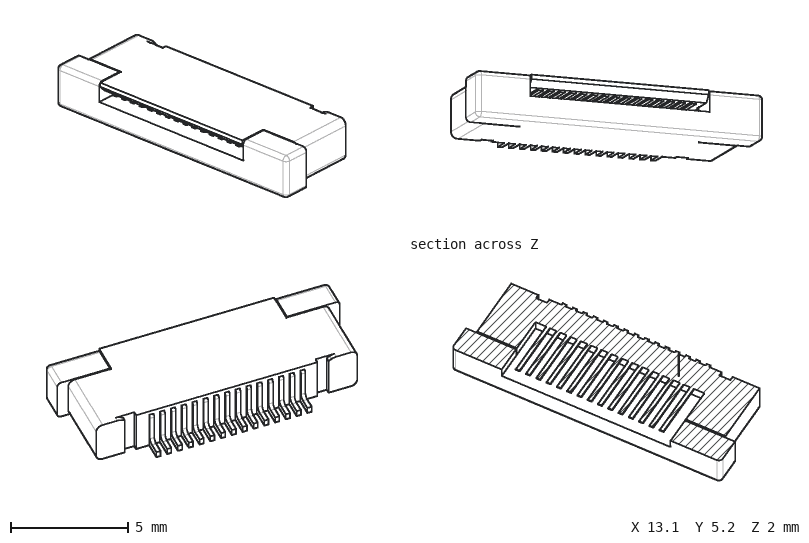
import cadquery as cq
import math


height = 2.0

actuator_length = 13.1
actuator_depth = 1.3
actuator_radius = 0.2

clearance = 0.05
housing_length = 12.1
housing_front = actuator_depth + clearance
housing_back = 4.4
housing_radius = 0.3

mouth_length = 8.2
mouth_floor = 1.05
mouth_ceiling = 1.5
mouth_depth = 3.0
lid_length = mouth_length - 2 * clearance
lid_lip = 0.2
lid_slope_depth = 0.3

contact_count = 15
contact_pitch = 0.5
contact_width = 0.2
finger_drop = 0.08
finger_rake = 0.015
foot_end = 5.2
foot_thickness = 0.3
stem_back = housing_back + 0.1
stem_top = 1.8
stem_outer_radius = 0.1
stem_inner_radius = 0.2

notch_depth = 0.2
notch_inner = 4.2
notch_outer = 4.72
shoulder_start = 5.07
shoulder_radius = 0.48
shoulder_slope = math.radians(28)


def box(length, y_start, y_end, z_start, z_end):
    """Block centred on X, spanning the given Y and Z ranges."""
    block = cq.Workplane("XY").box(length, y_end - y_start, z_end - z_start, centered=(True, False, False))
    return block.translate((0, y_start, z_start))


def make_actuator():
    """Bar rounded everywhere but on its back face, with the cable mouth cut through its middle."""
    bar = box(actuator_length, 0, actuator_depth, 0, height)
    bar = bar.edges("not >Y").fillet(actuator_radius)
    return bar.cut(box(mouth_length, 0, actuator_depth, mouth_floor, height))


def make_housing():
    """Block rounded along its four long side edges, hollowed by the cable mouth."""
    block = box(housing_length, housing_front, housing_back, 0, height)
    block = block.edges("|Y").fillet(housing_radius)
    return block.cut(box(mouth_length, housing_front, mouth_depth, mouth_floor, mouth_ceiling))


def make_neck():
    """Floor of the mouth bridging the clearance between actuator and housing."""
    return box(mouth_length, actuator_depth, housing_front, 0, mouth_floor)


def make_lid():
    """Roof over the mouth with a sloped lead-in behind its front lip."""
    profile = [
        (0, height),
        (0, height - lid_lip),
        (lid_slope_depth, mouth_ceiling),
        (housing_front, mouth_ceiling),
        (housing_front, height),
    ]
    return cq.Workplane("YZ").polyline(profile).close().extrude(lid_length / 2, both=True)


def make_notch():
    """Cutter for the notch on the +X side: an upright slot whose outer wall ends in a shoulder."""
    arc_end_x = shoulder_start - shoulder_radius * math.sin(shoulder_slope)
    arc_end_z = height - shoulder_radius * (1 - math.cos(shoulder_slope))
    arc_middle = (
        shoulder_start - shoulder_radius * math.sin(shoulder_slope / 2),
        height - shoulder_radius * (1 - math.cos(shoulder_slope / 2)),
    )
    slope_bottom = arc_end_z - (arc_end_x - notch_outer) * math.tan(shoulder_slope)
    return (
        cq.Workplane("XZ", origin=(0, housing_back, 0))
        .moveTo(notch_inner, 0)
        .lineTo(notch_inner, height)
        .lineTo(shoulder_start, height)
        .threePointArc(arc_middle, (arc_end_x, arc_end_z))
        .lineTo(notch_outer, slope_bottom)
        .lineTo(notch_outer, 0)
        .close()
        .extrude(notch_depth)
    )


def make_contact(x):
    """Finger under the mouth ceiling, and an upright stem with a solder foot behind the housing."""
    finger = (
        cq.Workplane("YZ")
        .moveTo(lid_slope_depth, mouth_ceiling)
        .lineTo(lid_slope_depth + finger_rake, mouth_ceiling - finger_drop)
        .lineTo(mouth_depth, mouth_ceiling - finger_drop)
        .lineTo(mouth_depth, mouth_ceiling)
        .close()
        .extrude(contact_width / 2, both=True)
    )
    stem = (
        cq.Workplane("YZ")
        .moveTo(housing_back, 0)
        .lineTo(foot_end, 0)
        .lineTo(foot_end, foot_thickness)
        .lineTo(stem_back + stem_inner_radius, foot_thickness)
        .radiusArc((stem_back, foot_thickness + stem_inner_radius), stem_inner_radius)
        .lineTo(stem_back, stem_top - stem_outer_radius)
        .radiusArc((stem_back - stem_outer_radius, stem_top), -stem_outer_radius)
        .close()
        .extrude(contact_width / 2, both=True)
    )
    return [finger.translate((x, 0, 0)), stem.translate((x, 0, 0))]


notch = make_notch()
housing = make_housing().cut(notch).cut(notch.mirror("YZ"))

result = make_actuator().union(make_neck()).union(housing).union(make_lid())
for index in range(contact_count):
    contact_x = (index - (contact_count - 1) / 2) * contact_pitch
    for piece in make_contact(contact_x):
        result = result.union(piece)